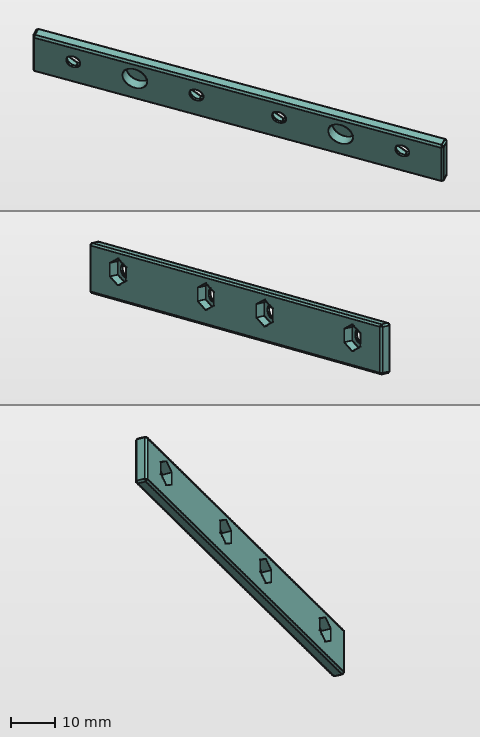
import cadquery as cq
import math

LENGTH = 99.8
THICKNESS = 3.0
HEIGHT = 11.8
EDGE_CHAMFER = 0.5

ROW_HEIGHT = 1.0

POCKET_DIAMETER = 6.0
POCKET_DEPTH = 2.5
POCKET_SPACING = 50.0

SCREW_DIAMETER = 3.4
SCREW_OFFSET = 15.0

NUT_ACROSS_FLATS = 5.5
NUT_ACROSS_CORNERS = NUT_ACROSS_FLATS / math.cos(math.pi / 6)
NUT_FLOOR = 0.6

FRONT_Y = -THICKNESS / 2


def hole_row(x_positions, start_y):
    """Hole centres on a plane facing +Y whose first axis is Z, so hexagon corners point along Z."""
    plane = cq.Plane(origin=(0, start_y, ROW_HEIGHT), xDir=(0, 0, 1), normal=(0, 1, 0))
    return cq.Workplane(plane).pushPoints([(0, x) for x in x_positions])


pocket_positions = [side * POCKET_SPACING / 2 for side in (-1, 1)]
screw_positions = [x + side * SCREW_OFFSET for x in pocket_positions for side in (-1, 1)]

bar = cq.Workplane("XY").box(LENGTH, THICKNESS, HEIGHT).edges().chamfer(EDGE_CHAMFER)

pockets = hole_row(pocket_positions, FRONT_Y).circle(POCKET_DIAMETER / 2).extrude(POCKET_DEPTH)

screw_holes = hole_row(screw_positions, FRONT_Y).circle(SCREW_DIAMETER / 2).extrude(THICKNESS)

nut_recesses = (
    hole_row(screw_positions, FRONT_Y + NUT_FLOOR)
    .polygon(6, NUT_ACROSS_CORNERS)
    .extrude(THICKNESS - NUT_FLOOR)
)

result = bar.cut(pockets).cut(screw_holes).cut(nut_recesses)